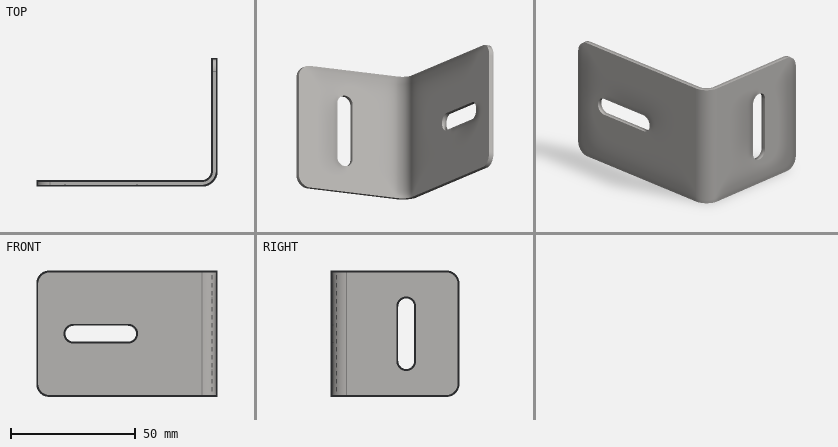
import cadquery as cq

long_leg = 72.0
short_leg = 51.0
height = 50.0
thickness = 2.0

inner_bend_radius = 4.0
outer_bend_radius = inner_bend_radius + thickness
corner_radius = 5.0

slot_length = 29.0
slot_width = 7.0
long_leg_slot_inset = 25.5
short_leg_slot_inset = 21.0
mid_height = height / 2


def bent_sheet():
    """L-shaped sheet with its outer faces on Y = 0 and X = long_leg."""
    sheet = (
        cq.Workplane("XY")
        .polyline([
            (0, 0),
            (long_leg, 0),
            (long_leg, short_leg),
            (long_leg - thickness, short_leg),
            (long_leg - thickness, thickness),
            (0, thickness),
        ])
        .close()
        .extrude(height)
    )
    outer_edge = cq.selectors.NearestToPointSelector((long_leg, 0, mid_height))
    inner_edge = cq.selectors.NearestToPointSelector(
        (long_leg - thickness, thickness, mid_height)
    )
    sheet = sheet.edges(outer_edge).fillet(outer_bend_radius)
    return sheet.edges(inner_edge).fillet(inner_bend_radius)


def round_free_corners(sheet):
    """Round the two corners at the free end of each leg."""
    sheet = sheet.faces("<X").edges("|Y").fillet(corner_radius)
    return sheet.faces(">Y").edges("|X").fillet(corner_radius)


def long_leg_slot():
    """Cutter for the horizontal slot, passing through the long leg along Y."""
    return (
        cq.Workplane("XZ")
        .center(long_leg_slot_inset, mid_height)
        .slot2D(slot_length, slot_width)
        .extrude(-thickness)
    )


def short_leg_slot():
    """Cutter for the upright slot, passing through the short leg along X."""
    return (
        cq.Workplane("YZ", origin=(long_leg - thickness, 0, 0))
        .center(short_leg - short_leg_slot_inset, mid_height)
        .slot2D(slot_length, slot_width, angle=90)
        .extrude(thickness)
    )


bracket = round_free_corners(bent_sheet())
result = bracket.cut(long_leg_slot()).cut(short_leg_slot())